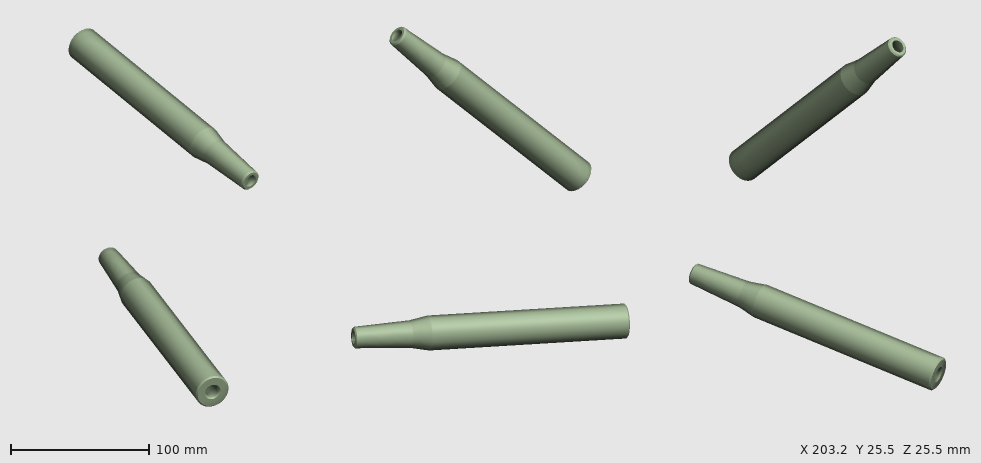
import cadquery as cq

length = 203.2
shank_diameter = 25.5
shank_chamfer = 1.0

shoulder_start = 147.3
nose_start = 161.0
nose_base_diameter = 20.1
nose_tip_diameter = 15.6
nose_chamfer = 1.0

bore_diameter = 9.5
entry_diameter = 10.0
entry_depth = 20.3
entry_chamfer = 1.0


def revolve_about_x(outline):
    """Turn a closed (x, radius) outline about the X axis."""
    return cq.Workplane("XZ").polyline(outline).close().revolve(360, (0, 0, 0), (1, 0, 0))


def make_body():
    shank_radius = shank_diameter / 2
    tip_radius = nose_tip_diameter / 2
    return revolve_about_x([
        (0, 0),
        (0, shank_radius - shank_chamfer),
        (shank_chamfer, shank_radius),
        (shoulder_start, shank_radius),
        (nose_start, nose_base_diameter / 2),
        (length - nose_chamfer, tip_radius),
        (length, tip_radius - nose_chamfer),
        (length, 0),
    ])


def make_bore():
    bore_radius = bore_diameter / 2
    entry_radius = entry_diameter / 2
    return revolve_about_x([
        (0, 0),
        (0, entry_radius + entry_chamfer),
        (entry_chamfer, entry_radius),
        (entry_depth, entry_radius),
        (entry_depth, bore_radius),
        (length, bore_radius),
        (length, 0),
    ])


result = make_body().cut(make_bore())